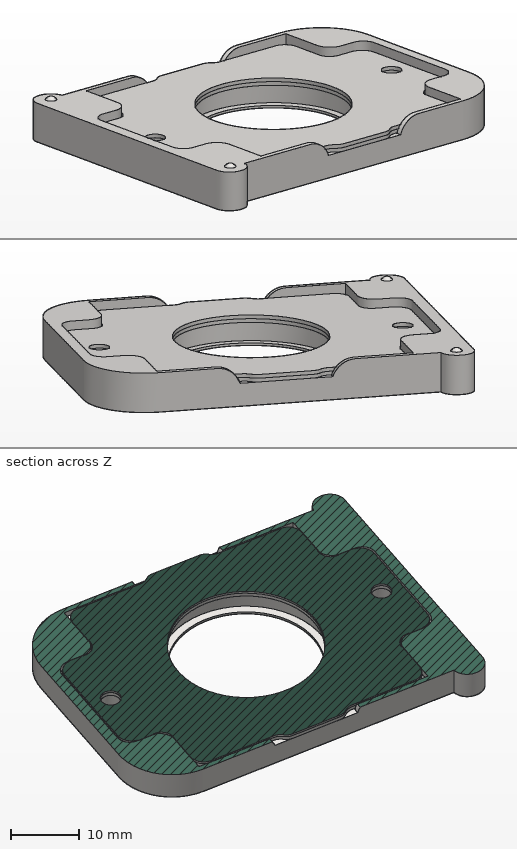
import cadquery as cq
import math


length = 56.45
ear_span = 44.6
body_width = 40.35
body_height = 6.0
head_corner_radius = 9.05
ear_radius = 2.5
ear_flat = 0.15
head_y = 28.1
foot_y = head_y - length

bump_height = 0.45
bump_radius = 0.85
bump_x = ear_span / 2 - ear_radius
bump_y = foot_y + ear_radius + ear_flat

plate_thickness = 0.55
plate_count = 2
plate_width = 38.35
plate_corner_radius = 2.1
plate_arm_length = 52.35
plate_arm_radius = 2.3
plate_root_radius = 2.0
tab_tip_half = 3.95
tab_root_half = 6.6

pocket_depth = 2.5
pocket_side = 38.6
pocket_arm_width = 19.85
pocket_arm_length = 52.7
pocket_arm_radius = 2.1
pocket_root_radius = 2.5
pocket_floor = body_height - pocket_depth

notch_half_width = 10.45
notch_radius = 3.65

opening_diameter = 22.9
lens_seat_diameter = 25.4
lip_thickness = 0.4
screw_diameter = 3.0
screw_y = 22.85


def cross(width, depth, arm_width, arm_length, height, corner_radius, arm_radius, root_radius):
    """Block with an arm at each Y end; a corner radius of zero leaves its own corners sharp."""
    block = cq.Workplane("XY").rect(width, depth).extrude(height)
    arms = cq.Workplane("XY").rect(arm_width, arm_length).extrude(height)
    if corner_radius > 0:
        block = block.edges("|Z").fillet(corner_radius)
    arms = arms.edges("|Z").fillet(arm_radius)
    roots = [(sx * arm_width / 2, sy * depth / 2) for sx in (-1, 1) for sy in (-1, 1)]
    body = block.union(arms)
    for x, y in roots:
        body = body.edges(cq.selectors.NearestToPointSelector((x, y, height / 2))).fillet(root_radius)
    return body


def screw_holes(height):
    """Cylinders of both screw holes, standing on the XY plane."""
    return (
        cq.Workplane("XY")
        .pushPoints([(0, -screw_y), (0, screw_y)])
        .circle(screw_diameter / 2)
        .extrude(height)
    )


def make_housing_blank():
    """Solid block: round corners at the head and an ear on each side of the foot."""
    body_length = head_y - bump_y
    head = (
        cq.Workplane("XY")
        .center(0, head_y - body_length / 2)
        .rect(body_width, body_length)
        .extrude(body_height)
        .edges("|Z and >Y")
        .fillet(head_corner_radius)
    )
    foot_depth = 2 * ear_radius + ear_flat
    foot = (
        cq.Workplane("XY")
        .center(0, foot_y + foot_depth / 2)
        .rect(ear_span, foot_depth)
        .extrude(body_height)
        .edges("|Z")
        .fillet(ear_radius)
    )
    return head.union(foot)


def make_bump(x):
    """Ball segment that rises from the top of an ear."""
    ball_radius = (bump_radius**2 + bump_height**2) / (2 * bump_height)
    ball = cq.Workplane("XY").sphere(ball_radius)
    ball = ball.translate((x, bump_y, body_height + bump_height - ball_radius))
    core = cq.Workplane("XY").center(x, bump_y).circle(bump_radius)
    return ball.intersect(core.extrude(body_height + bump_height))


def make_pocket():
    """Cross-shaped recess, open at the top, that takes the plates."""
    pocket = cross(
        pocket_side, pocket_side, pocket_arm_width, pocket_arm_length, pocket_depth,
        0, pocket_arm_radius, pocket_root_radius,
    )
    return pocket.translate((0, 0, pocket_floor))


def make_notch():
    """Cut across both side walls, with ends that curve down from the top face."""
    end_angle = math.acos(1 - pocket_depth / notch_radius)
    floor_half = notch_half_width - notch_radius * math.sin(end_angle)
    mid_y = notch_half_width - notch_radius * math.sin(end_angle / 2)
    mid_z = body_height - notch_radius * (1 - math.cos(end_angle / 2))
    return (
        cq.Workplane("YZ")
        .moveTo(-notch_half_width, body_height)
        .threePointArc((-mid_y, mid_z), (-floor_half, pocket_floor))
        .lineTo(floor_half, pocket_floor)
        .threePointArc((mid_y, mid_z), (notch_half_width, body_height))
        .close()
        .extrude(body_width / 2, both=True)
    )


def make_lens_bore():
    """Through opening with a wider lens seat above a thin lip."""
    through = cq.Workplane("XY").circle(opening_diameter / 2).extrude(body_height)
    seat = cq.Workplane("XY").workplane(offset=lip_thickness).circle(lens_seat_diameter / 2)
    return through.union(seat.extrude(body_height - lip_thickness))


def make_housing():
    housing = make_housing_blank()
    housing = housing.cut(make_pocket()).cut(make_notch())
    housing = housing.cut(make_lens_bore()).cut(screw_holes(body_height))
    for x in (-bump_x, bump_x):
        housing = housing.union(make_bump(x))
    return housing


def make_tab():
    """Tab on the +X side, which leaves the plate in S-curves and ends flush with the housing."""
    inner_x = plate_width / 2
    outer_x = body_width / 2
    middle_x = (inner_x + outer_x) / 2
    middle_y = (tab_tip_half + tab_root_half) / 2
    upper_half = (
        cq.Workplane("XY")
        .moveTo(outer_x, 0)
        .lineTo(outer_x, tab_tip_half)
        .tangentArcPoint((middle_x, middle_y), relative=False)
        .tangentArcPoint((inner_x, tab_root_half), relative=False)
        .lineTo(0, tab_root_half)
        .lineTo(0, 0)
        .close()
        .extrude(plate_thickness)
    )
    return upper_half.union(upper_half.mirror("XZ"))


def make_plate(level):
    """Plate that lies in the pocket, `level` plates above the pocket floor."""
    plate = cross(
        plate_width, pocket_side, pocket_arm_width, plate_arm_length, plate_thickness,
        plate_corner_radius, plate_arm_radius, plate_root_radius,
    )
    tab = make_tab()
    plate = plate.union(tab).union(tab.mirror("YZ"))
    opening = cq.Workplane("XY").circle(opening_diameter / 2).extrude(plate_thickness)
    plate = plate.cut(opening).cut(screw_holes(plate_thickness))
    return plate.translate((0, 0, pocket_floor + level * plate_thickness))


housing = make_housing()
plates = [make_plate(level) for level in range(plate_count)]

result = cq.Compound.makeCompound([housing.val(), *[plate.val() for plate in plates]])